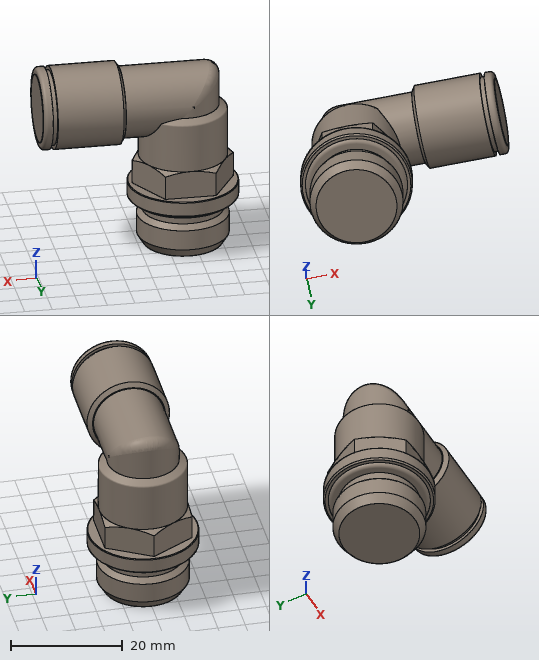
import cadquery as cq
import math

total_height = 35.55
reach = 26.5
sleeve_dia = 15.1
outlet_z = total_height - sleeve_dia / 2

thread_dia = 16.65
tip_dia = 14.45
neck_dia = 14.75
flange_dia = 20.0
hex_flats = 16.0
tip_chamfer_height = 1.75
thread_top = 5.5
neck_start = thread_top + (thread_dia - neck_dia) / 2
flange_bottom = 8.9
flange_top = 11.9
flange_lower_chamfer = 0.3
flange_upper_chamfer = 0.15
hex_top = 17.0

seal_dia = 18.25
seal_height = 0.73
seal_round = 0.7

collar_dia = hex_flats
tube_dia = 13.0
collar_cone_top = 26.85
collar_edge_round = 0.35
cone_angle = math.radians(30)
corner_round = 1.82
mitre_end_margin = 0.07
sleeve_start = 11.45
sleeve_end = 23.98
sleeve_chamfer_length = 0.6
sleeve_chamfer_dia = 13.35

ring_neck_dia = 13.6
ring_dia = 15.0
ring_neck_length = 0.88
ring_round = 0.7
ring_face_dia = 12.3
ring_lip = 0.1


def revolve_about_z(points):
    """Turn a closed (radius, z) outline about the Z axis."""
    return cq.Workplane("XZ").polyline(points).close().revolve(360, (0, 0), (0, 1))


def cylinder_along_x(dia, start, end):
    """Cylinder on the outlet axis between two X positions."""
    return cq.Workplane("YZ", origin=(start, 0, outlet_z)).circle(dia / 2).extrude(end - start)


def make_stud():
    lower = revolve_about_z([
        (0, 0),
        (tip_dia / 2, 0),
        (thread_dia / 2, tip_chamfer_height),
        (thread_dia / 2, thread_top),
        (neck_dia / 2, neck_start),
        (neck_dia / 2, flange_bottom),
        (flange_dia / 2 - flange_lower_chamfer, flange_bottom),
        (flange_dia / 2, flange_bottom + flange_lower_chamfer),
        (flange_dia / 2, flange_top - flange_upper_chamfer),
        (flange_dia / 2 - flange_upper_chamfer, flange_top),
        (0, flange_top),
    ])
    corner_radius = hex_flats / math.sqrt(3)
    corner_angles = [math.radians(60 * i) for i in range(6)]
    hexagon = (
        cq.Workplane("XY", origin=(0, 0, flange_top))
        .polyline([(corner_radius * math.cos(a), corner_radius * math.sin(a)) for a in corner_angles])
        .close()
        .extrude(hex_top - flange_top)
    )
    bevel_drop = (flange_dia - hex_flats) / 2 * math.tan(cone_angle)
    bevel = revolve_about_z([
        (0, flange_top),
        (flange_dia / 2, flange_top),
        (flange_dia / 2, hex_top - bevel_drop),
        (hex_flats / 2, hex_top),
        (0, hex_top),
    ])
    return lower.union(hexagon.intersect(bevel))


def make_seal():
    seal = (
        cq.Workplane("XY", origin=(0, 0, flange_bottom - seal_height))
        .circle(seal_dia / 2)
        .circle(neck_dia / 2)
        .extrude(seal_height)
    )
    return seal.faces("<Z").edges("%CIRCLE").edges(cq.selectors.RadiusNthSelector(-1)).fillet(seal_round)


def make_mitred_tube():
    """Two equal cylinders meeting at a mitre, with the outer corner rounded."""
    radius = tube_dia / 2
    upright = cq.Workplane("XY", origin=(0, 0, hex_top)).circle(radius).extrude(total_height - hex_top)
    outlet = cylinder_along_x(tube_dia, -tube_dia, sleeve_start)
    below_mitre = (
        cq.Workplane("XZ", origin=(0, tube_dia, outlet_z))
        .polyline([(-tube_dia, tube_dia), (tube_dia, -tube_dia), (-tube_dia, -tube_dia)])
        .close()
        .extrude(2 * tube_dia)
    )
    corner = upright.intersect(below_mitre).union(outlet.cut(below_mitre))
    core_width = tube_dia - 2 * mitre_end_margin
    core_box = cq.Workplane("XY", origin=(0, 0, outlet_z)).box(4 * tube_dia, core_width, 4 * tube_dia)
    core = corner.intersect(core_box)
    sides = corner.cut(core_box)
    outer_mitre = cq.selectors.BoxSelector(
        (-tube_dia, -tube_dia, outlet_z), (-tube_dia / 4, tube_dia, outlet_z + tube_dia)
    )
    rounded_core = core.edges("%ELLIPSE").edges(outer_mitre).fillet(corner_round)
    return rounded_core.union(sides)


def make_collar():
    cone_drop = (collar_dia - tube_dia) / 2 * math.tan(cone_angle)
    collar = revolve_about_z([
        (0, hex_top),
        (collar_dia / 2, hex_top),
        (collar_dia / 2, collar_cone_top - cone_drop),
        (tube_dia / 2, collar_cone_top),
        (0, collar_cone_top),
    ])
    shoulder = cq.selectors.RadiusNthSelector(-1)
    return collar.edges("%CIRCLE").edges(">>Z[-2]").edges(shoulder).fillet(collar_edge_round)


def make_sleeve():
    chamfer_end = sleeve_start + sleeve_chamfer_length
    profile = [
        (sleeve_start, 0),
        (sleeve_start, sleeve_chamfer_dia / 2),
        (chamfer_end, sleeve_dia / 2),
        (sleeve_end, sleeve_dia / 2),
        (sleeve_end, 0),
    ]
    return (
        cq.Workplane("XZ", origin=(0, 0, outlet_z))
        .polyline(profile)
        .close()
        .revolve(360, (0, 0), (1, 0))
    )


def make_elbow():
    return make_collar().union(make_mitred_tube()).union(make_sleeve())


def make_release_ring():
    head_start = sleeve_end + ring_neck_length
    head_end = reach - ring_lip
    neck = cylinder_along_x(ring_neck_dia, sleeve_end, head_start)
    head = cylinder_along_x(ring_dia, head_start, head_end).faces(">X").edges().fillet(ring_round)
    lip = cylinder_along_x(ring_face_dia, head_end, reach)
    return neck.union(head).union(lip)


stud = make_stud()
seal = make_seal()
elbow = make_elbow()
release_ring = make_release_ring()

result = cq.Compound.makeCompound([stud.val(), seal.val(), elbow.val(), release_ring.val()])